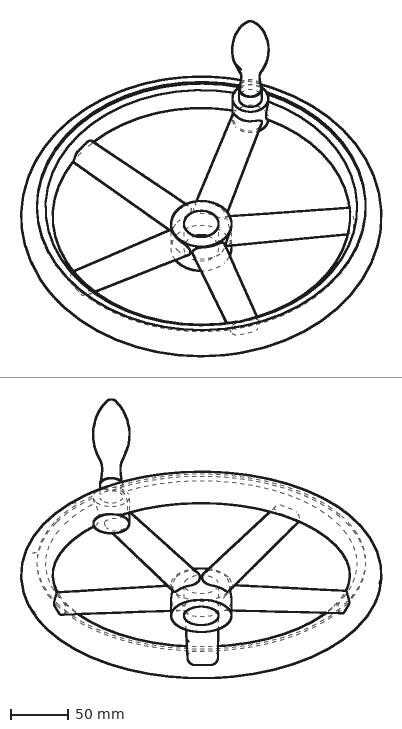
import cadquery as cq

outer_radius = 157.5
rim_section_radius = 14.0
rim_center_radius = outer_radius - rim_section_radius
rim_level = 42.2
rim_bottom = rim_level - rim_section_radius
rim_top = rim_level + rim_section_radius
rim_step_depth = 2.2

hub_radius = 26.5
hub_height = 32.5
bore_radius = 15.0

spoke_count = 5
spoke_flat_width = 14.2
spoke_start = 22.0
spoke_end = 134.0
spoke_start_height = 23.0
spoke_end_height = 39.5
spoke_start_thickness = 15.5
spoke_end_thickness = 12.5

handle_offset = 132.0
boss_radius = 15.8
collar_radius = 10.0
collar_top = 69.3
neck_base_radius = 9.5
neck_radius = 8.2
neck_level = 81.5
grip_base_radius = 11.0
grip_base_level = 97.5
grip_radius = 16.0
grip_level = 122.2
tip_radius = 4.5
tip_level = 153.7
handle_top = 156.0
tip_height = handle_top - tip_level
tip_round = (tip_radius**2 + tip_height**2) / (2 * tip_height)


def make_rim():
    """Round ring whose inner upper side is stepped down to a flat."""
    ring = (
        cq.Workplane("XZ")
        .center(rim_center_radius, rim_level)
        .circle(rim_section_radius)
        .revolve(360, (-rim_center_radius, 0), (-rim_center_radius, 1))
    )
    step = (
        cq.Workplane("XY")
        .workplane(offset=rim_top - rim_step_depth)
        .circle(rim_center_radius)
        .extrude(2 * rim_step_depth)
    )
    return ring.cut(step)


def spoke_section(distance, height, thickness):
    """Obround wire in the plane across a spoke along +Y."""
    plane = cq.Plane(origin=(0, distance, height), xDir=(1, 0, 0), normal=(0, 1, 0))
    return cq.Workplane(plane).slot2D(spoke_flat_width + thickness, thickness).wires().val()


def make_spoke():
    start = spoke_section(spoke_start, spoke_start_height, spoke_start_thickness)
    end = spoke_section(spoke_end, spoke_end_height, spoke_end_thickness)
    return cq.Workplane(cq.Solid.makeLoft([start, end], True))


def make_handle():
    """Turned handle on the Z axis, rooted at the bottom of the boss."""
    profile = (
        cq.Workplane("XZ")
        .moveTo(0, rim_bottom)
        .lineTo(boss_radius, rim_bottom)
        .lineTo(boss_radius, rim_top)
        .lineTo(collar_radius, rim_top)
        .lineTo(collar_radius, collar_top)
        .lineTo(neck_base_radius, collar_top)
        .lineTo(neck_radius, neck_level)
        .tangentArcPoint((grip_base_radius, grip_base_level), relative=False)
        .threePointArc((grip_radius, grip_level), (tip_radius, tip_level))
        .radiusArc((0, handle_top), -tip_round)
        .close()
    )
    return profile.revolve(360, (0, 0), (0, 1)).translate((0, handle_offset, 0))


wheel = make_rim().union(cq.Workplane("XY").circle(hub_radius).extrude(hub_height))
for index in range(spoke_count):
    wheel = wheel.union(make_spoke().rotate((0, 0, 0), (0, 0, 1), index * 360 / spoke_count))
wheel = wheel.union(make_handle())
bore = cq.Workplane("XY").circle(bore_radius).extrude(hub_height)
result = wheel.cut(bore)